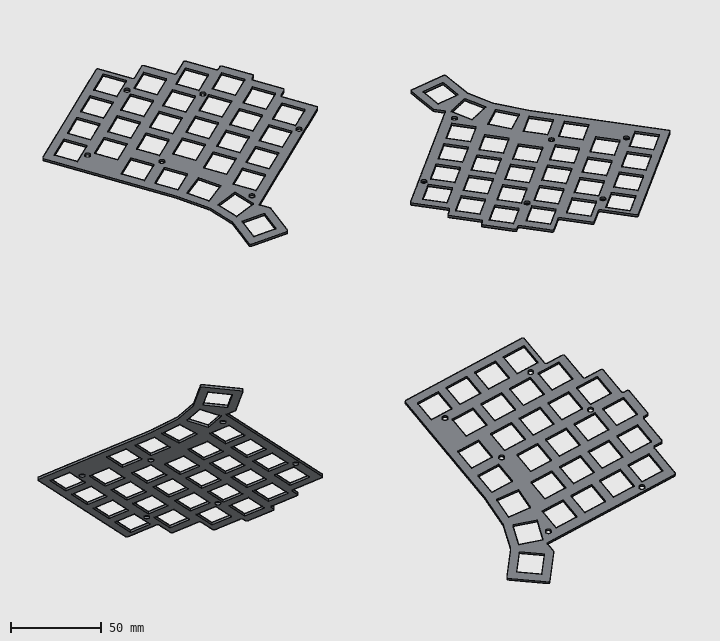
import cadquery as cq
import math

length = 147.5
thickness = 1.6
corner_radius = 1.0

window = 13.9
border = 12.1

column_count = 6
rows_per_column = 4
first_column_x = 12.0
column_pitch = 100.0 / (column_count - 1)
row_pitch = 57.0 / (rows_per_column - 1)
bottom_row_y = 32.6
column_lifts = [0, 9.7, 21.8, 25.8, 21.8, 16.0]
lower_row_columns = [2, 3]

first_column_border = 9.7
last_column_border = 11.7
first_step_x = 22.1
right_side_x = 124.8
shoulder_y = 31.6

thumb_border = 12.0
last_turn = 40
turn_angle = math.radians(last_turn)
corner_reach = (thumb_border - corner_radius) * (math.cos(turn_angle) + math.sin(turn_angle)) + corner_radius
thumb_keys = [(91.9, 31.5, 5), (112.9, 27.0, 20), (length - corner_reach, corner_reach, last_turn)]

screw_diameter = 3.2
screw_centres = [
    (22.1, 32.6),
    (22.1, 89.4),
    (62.0, 43.5),
    (62.0, 102.5),
    (118.5, 36.7),
    (121.9, 96.5),
]

column_xs = [first_column_x + i * column_pitch for i in range(column_count)]
top_row_ys = [bottom_row_y + (rows_per_column - 1) * row_pitch + lift for lift in column_lifts]


def thumb_edge(key, direction):
    """Point and heading of the plate edge above (+1) or below (-1) a thumb window."""
    x, y, turn = key
    angle = math.radians(-turn)
    point = (x - direction * thumb_border * math.sin(angle), y + direction * thumb_border * math.cos(angle))
    return point, angle


def crossing(first_edge, second_edge):
    """Point where two straight edges, each a point and a heading, meet."""
    (x1, y1), a1 = first_edge
    (x2, y2), a2 = second_edge
    travel = ((x2 - x1) * math.sin(a2) - (y2 - y1) * math.cos(a2)) / math.sin(a2 - a1)
    return x1 + travel * math.cos(a1), y1 + travel * math.sin(a1)


def top_edge_points():
    """Stepped top edge, from the upper left corner to the upper right corner."""
    borders = [first_column_border] + [border] * (column_count - 2) + [last_column_border]
    tops = [y + margin for y, margin in zip(top_row_ys, borders)]
    steps = [first_step_x + i * column_pitch for i in range(column_count - 1)]
    points = [(0, tops[0])]
    for step_x, left_top, right_top in zip(steps, tops, tops[1:]):
        points += [(step_x, left_top), (step_x, right_top)]
    return points + [(right_side_x, tops[-1])]


def thumb_edge_points():
    """Right and lower edge, from the shoulder round the thumb fan to the lower left corner."""
    last_x, last_y, _ = thumb_keys[-1]
    end_heading = math.radians(90 - last_turn)
    end_point = (last_x + thumb_border * math.sin(end_heading), last_y - thumb_border * math.cos(end_heading))
    end_edge = (end_point, end_heading)
    shoulder = ((right_side_x, shoulder_y), 0)
    upper_edge = thumb_edge(thumb_keys[-1], 1)
    bottom_edge = ((0, bottom_row_y - border), 0)
    lower_edges = [thumb_edge(key, -1) for key in reversed(thumb_keys)] + [bottom_edge]

    points = [shoulder[0], crossing(shoulder, upper_edge), crossing(upper_edge, end_edge)]
    points.append(crossing(end_edge, lower_edges[0]))
    points += [crossing(a, b) for a, b in zip(lower_edges, lower_edges[1:])]
    return points + [bottom_edge[0]]


top_points = top_edge_points()
fan_points = thumb_edge_points()
plate = cq.Workplane("XY").polyline(top_points + fan_points).close().extrude(thickness)

thumb_end_corners = fan_points[2:4]
lower_left_corner = fan_points[-1]
for x, y in top_points + thumb_end_corners + [lower_left_corner]:
    corner = cq.selectors.NearestToPointSelector((x, y, thickness / 2))
    plate = plate.edges("|Z").edges(corner).fillet(corner_radius)

finger_centres = [
    (x, top_y - row * row_pitch)
    for x, top_y in zip(column_xs, top_row_ys)
    for row in range(rows_per_column)
]
finger_centres += [(column_xs[i], bottom_row_y) for i in lower_row_columns]
finger_windows = cq.Workplane("XY").pushPoints(finger_centres).rect(window, window).extrude(thickness)
plate = plate.cut(finger_windows)

for x, y, turn in thumb_keys:
    thumb_window = cq.Workplane("XY").rect(window, window).extrude(thickness)
    plate = plate.cut(thumb_window.rotate((0, 0, 0), (0, 0, 1), -turn).translate((x, y, 0)))

screws = cq.Workplane("XY").pushPoints(screw_centres).circle(screw_diameter / 2).extrude(thickness)
result = plate.cut(screws)